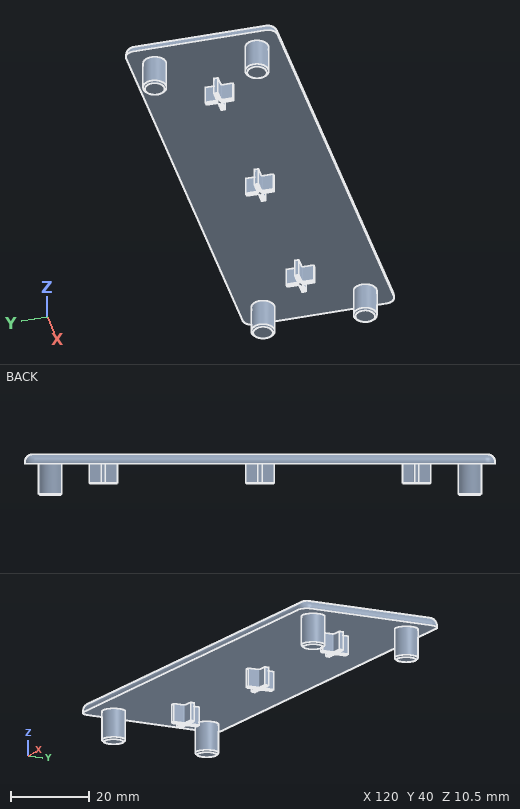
import cadquery as cq

length = 120.0
width = 40.0
plate_thickness = 2.5
corner_radius = 2.5
top_edge_radius = 2.0

peg_diameter = 6.0
peg_length = 8.0
peg_inset = 6.5
peg_tip_chamfer = 0.5

post_span = 7.3
post_length = 5.0
post_spacing = 40.0
post_count = 3
rib_thickness = 1.1
rib_root_radius = 0.4
post_tip_chamfer = 0.3


def make_plate():
    plate = cq.Workplane("XY").box(length, width, plate_thickness, centered=(True, True, False))
    plate = plate.edges("|Z").fillet(corner_radius)
    return plate.faces(">Z").edges().fillet(top_edge_radius)


def make_pegs():
    peg_pitch_x = length - 2 * peg_inset
    peg_pitch_y = width - 2 * peg_inset
    pegs = (
        cq.Workplane("XY")
        .rarray(peg_pitch_x, peg_pitch_y, 2, 2)
        .circle(peg_diameter / 2)
        .extrude(-peg_length)
    )
    return pegs.faces("<Z").edges().chamfer(peg_tip_chamfer)


def make_post(x):
    base = cq.Workplane("XY").center(x, 0)
    rib_along_x = base.rect(post_span, rib_thickness).extrude(-post_length)
    rib_along_y = base.rect(rib_thickness, post_span).extrude(-post_length)
    post = rib_along_x.union(rib_along_y)
    root_box = cq.selectors.BoxSelector(
        (x - rib_thickness, -rib_thickness, -post_length),
        (x + rib_thickness, rib_thickness, 0),
    )
    post = post.edges("|Z").edges(root_box).fillet(rib_root_radius)
    return post.faces("<Z").edges().chamfer(post_tip_chamfer)


result = make_plate().union(make_pegs())
for index in range(post_count):
    post_x = (index - (post_count - 1) / 2) * post_spacing
    result = result.union(make_post(post_x))